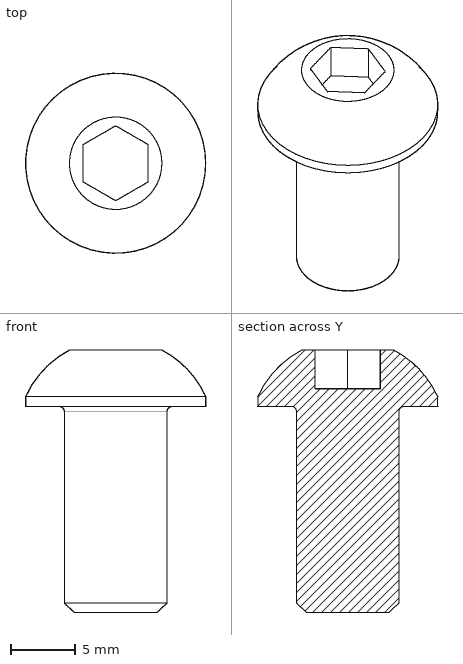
import cadquery as cq
import math

total_height = 20.4
head_height = 4.4
head_radius = 7.0
rim_height = 0.8
top_flat_radius = 3.6
shank_radius = 4.0
shank_length = total_height - head_height

neck_fillet = 0.39
tip_radius = 3.2
tip_height = 0.73

socket_across_flats = 5.04
socket_depth = 3.0


def dome_midpoint():
    """Point halfway along the dome, a sphere centred on the screw axis."""
    rise = head_height - rim_height
    center_drop = (head_radius**2 - top_flat_radius**2 - rise**2) / (2 * rise)
    sphere_radius = math.hypot(head_radius, center_drop)
    rim_angle = math.atan2(center_drop, head_radius)
    flat_angle = math.atan2(center_drop + rise, top_flat_radius)
    middle = (rim_angle + flat_angle) / 2
    center_z = rim_height - center_drop
    return sphere_radius * math.cos(middle), center_z + sphere_radius * math.sin(middle)


def screw_body():
    """Head and shank as one revolved half profile."""
    return (
        cq.Workplane("XZ")
        .moveTo(0, -shank_length)
        .lineTo(tip_radius, -shank_length)
        .lineTo(shank_radius, -shank_length + tip_height)
        .lineTo(shank_radius, -neck_fillet)
        .radiusArc((shank_radius + neck_fillet, 0), neck_fillet)
        .lineTo(head_radius, 0)
        .lineTo(head_radius, rim_height)
        .threePointArc(dome_midpoint(), (top_flat_radius, head_height))
        .lineTo(0, head_height)
        .close()
        .revolve(360, (0, 0, 0), (0, 1, 0))
    )


def hex_socket():
    """Hexagonal prism sunk from the flat top of the head."""
    across_corners = socket_across_flats / math.cos(math.radians(30))
    return (
        cq.Workplane("XY", origin=(0, 0, head_height - socket_depth))
        .transformed(rotate=(0, 0, 90))
        .polygon(6, across_corners)
        .extrude(socket_depth)
    )


result = screw_body().cut(hex_socket())